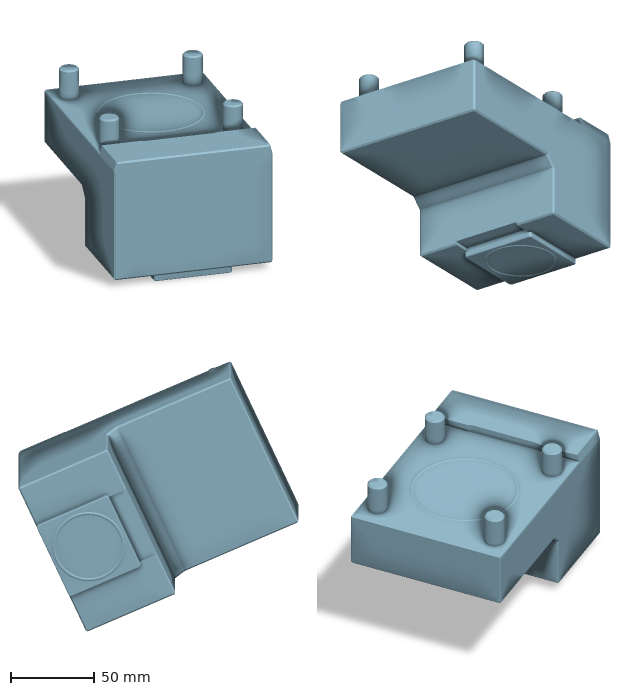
import cadquery as cq
import math

length = 140.0
width = 100.0
plate_depth = 34.0
leg_depth = 71.0
leg_start_x = 81.0
inner_corner_size = 6.2
edge_chamfer = 1.0

ridge_start_x = 110.0
ridge_height = 5.0
relief_height = 1.5
relief_depth = 0.7
recess_depth = 1.0
recess_half_width = 24.6
recess_flat_half_width = 20.0

draft_inset = 1.5
draft_start_z = -1.0

pin_diameter = 12.0
pin_chamfer = 1.0
pin_rows = [(15.0, 18.9), (95.0, 17.0)]
pin_spacing_y = 78.0

ring_section = 2.5
ring_proud = 0.4
plate_ring_diameter = 64.0
pad_ring_diameter = 41.7

pad_start_x = 92.4
pad_end_x = 139.6
pad_width = 49.1
pad_chamfer = 1.0
pad_base_chamfer = 0.4
pad_gap = 0.3
bottom_z = -75.0
slot_width = 45.1
slot_depth = 2.1

pad_base_z = bottom_z + ring_proud
pad_center_x = (pad_start_x + pad_end_x) / 2
plate_ring_x = sum(x for x, _ in pin_rows) / len(pin_rows)


def make_side_draft():
    """Wedge that slopes the top of the +Y side inward."""
    side_y = width / 2
    return (
        cq.Workplane("YZ")
        .moveTo(side_y, draft_start_z)
        .lineTo(side_y, ridge_height)
        .lineTo(side_y - draft_inset, ridge_height)
        .close()
        .extrude(length)
    )


def make_block():
    """L-shaped block up to the ridge height, drafted near its top, with chamfered edges."""
    block = (
        cq.Workplane("XZ")
        .moveTo(0, ridge_height)
        .lineTo(0, -plate_depth)
        .lineTo(leg_start_x - inner_corner_size, -plate_depth)
        .lineTo(leg_start_x, -plate_depth - inner_corner_size)
        .lineTo(leg_start_x, -leg_depth)
        .lineTo(length, -leg_depth)
        .lineTo(length, ridge_height)
        .close()
        .extrude(width / 2, both=True)
    )
    side_draft = make_side_draft()
    block = block.cut(side_draft).cut(side_draft.mirror("XZ"))
    edges = block.faces("<Y or >Y").edges("not >Z")
    edges = edges.add(block.faces("<X or >X").edges("not |Y"))
    edges = edges.add(block.faces("<X").edges("<Z"))
    edges = edges.add(block.faces("<Z").edges("|Y"))
    edges = edges.add(block.faces(">X").edges(">Z"))
    return edges.chamfer(edge_chamfer)


def make_clearance():
    """Space above the plate, in front of the ridge and into its foot relief."""
    return (
        cq.Workplane("XZ")
        .moveTo(0, 0)
        .lineTo(ridge_start_x + relief_depth, 0)
        .lineTo(ridge_start_x, relief_height)
        .lineTo(ridge_start_x, ridge_height)
        .lineTo(0, ridge_height)
        .close()
        .extrude(width / 2, both=True)
    )


def make_ridge_recess():
    """Shallow recess in the ridge face, with arcs running out at both ends."""
    recess_x = ridge_start_x + recess_depth
    run_out = recess_half_width - recess_flat_half_width
    radius = (run_out**2 + recess_depth**2) / (2 * recess_depth)
    half_angle = math.asin(run_out / radius) / 2
    arc_mid_x = recess_x - radius * (1 - math.cos(half_angle))
    arc_mid_y = recess_flat_half_width + radius * math.sin(half_angle)
    return (
        cq.Workplane("XY")
        .moveTo(ridge_start_x, -recess_half_width)
        .threePointArc((arc_mid_x, -arc_mid_y), (recess_x, -recess_flat_half_width))
        .lineTo(recess_x, recess_flat_half_width)
        .threePointArc((arc_mid_x, arc_mid_y), (ridge_start_x, recess_half_width))
        .close()
        .extrude(ridge_height)
    )


def make_pin(x, y, height):
    """Upright pin with a chamfered tip."""
    pin = cq.Workplane("XY", origin=(x, y, 0)).circle(pin_diameter / 2).extrude(height)
    return pin.faces(">Z").chamfer(pin_chamfer)


def make_ring(x, z, diameter):
    """Horizontal sealing ring with its centre at X and Z on the symmetry plane."""
    axis_offset = diameter / 2
    return (
        cq.Workplane("XZ", origin=(x, 0, z))
        .center(axis_offset, 0)
        .circle(ring_section / 2)
        .revolve(360, (-axis_offset, 0), (-axis_offset, 1))
    )


def make_slot():
    """Slot in the underside of the leg, open at the leg's face and ending at the pad."""
    return cq.Workplane("XY", origin=(leg_start_x, 0, -leg_depth)).box(
        pad_start_x - leg_start_x, slot_width, slot_depth, centered=(False, True, False)
    )


def make_pad():
    """Pad with chamfered corners and base, and the tongue that joins it to the leg."""
    base = cq.Workplane("XY", origin=(pad_center_x, 0, pad_base_z))
    pad_length = pad_end_x - pad_start_x
    pad = base.rect(pad_length, pad_width).extrude(-leg_depth - pad_gap - pad_base_z)
    pad = pad.edges("|Z").chamfer(pad_chamfer).faces("<Z").chamfer(pad_base_chamfer)
    tongue = cq.Workplane("XY", origin=(pad_start_x, 0, pad_base_z + pad_base_chamfer)).box(
        pad_length - pad_chamfer,
        slot_width,
        slot_depth - leg_depth - pad_base_z - pad_base_chamfer,
        centered=(False, True, False),
    )
    return pad.union(tongue)


result = make_block().cut(make_clearance()).cut(make_ridge_recess())
result = result.cut(make_slot()).union(make_pad())

for pin_x, pin_height in pin_rows:
    for pin_y in (-pin_spacing_y / 2, pin_spacing_y / 2):
        result = result.union(make_pin(pin_x, pin_y, pin_height))

plate_ring_z = ring_proud - ring_section / 2
pad_ring_z = bottom_z + ring_section / 2
result = result.union(make_ring(plate_ring_x, plate_ring_z, plate_ring_diameter))
result = result.union(make_ring(pad_center_x, pad_ring_z, pad_ring_diameter))